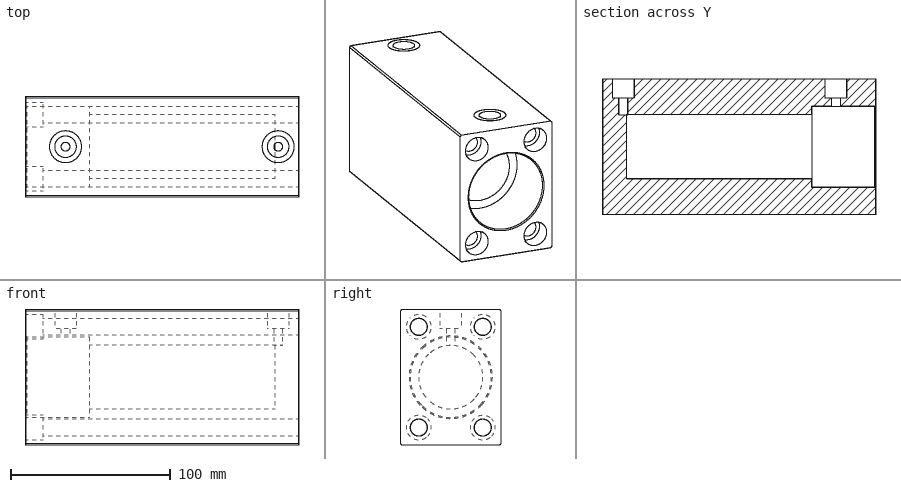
import cadquery as cq

LENGTH = 171.0
WIDTH = 63.0
HEIGHT = 85.0
EDGE_CHAMFER = 1.0

GLAND_DIAMETER = 50.5
GLAND_DEPTH = 40.0
MOUTH_CHAMFER = 0.75
PISTON_DIAMETER = 40.0
END_WALL = 15.0
PISTON_BORE_END = LENGTH - END_WALL

BOLT_SPACING_Y = 40.0
BOLT_SPACING_Z = 63.0
BOLT_HOLE_DIAMETER = 10.5
BOLT_HEAD_DIAMETER = 15.5
BOLT_HEAD_DEPTH = 11.0

PORT_POSITIONS_X = (25.0, 158.0)
SPOTFACE_DIAMETER = 20.0
SPOTFACE_DEPTH = 0.1
PORT_DIAMETER = 13.5
PORT_DEPTH = 12.0
DRILLING_DIAMETER = 5.5


def cylinder_along_x(diameter, depth, y=0.0, z=0.0):
    """Cylinder that begins at the -X face and extends toward +X."""
    return cq.Workplane("YZ", origin=(0, y, z)).circle(diameter / 2).extrude(depth)


def make_block():
    block = cq.Workplane("XY").box(LENGTH, WIDTH, HEIGHT, centered=(False, True, True))
    return block.edges("|X").chamfer(EDGE_CHAMFER)


def make_bore():
    """Half-profile in the XY plane, revolved about the X axis."""
    gland_radius = GLAND_DIAMETER / 2
    piston_radius = PISTON_DIAMETER / 2
    profile = [
        (0, 0),
        (0, gland_radius + MOUTH_CHAMFER),
        (MOUTH_CHAMFER, gland_radius),
        (GLAND_DEPTH, gland_radius),
        (GLAND_DEPTH, piston_radius),
        (PISTON_BORE_END, piston_radius),
        (PISTON_BORE_END, 0),
    ]
    return cq.Workplane("XY").polyline(profile).close().revolve(360, (0, 0, 0), (1, 0, 0))


def make_bolt_hole(y, z):
    shank = cylinder_along_x(BOLT_HOLE_DIAMETER, LENGTH, y, z)
    head = cylinder_along_x(BOLT_HEAD_DIAMETER, BOLT_HEAD_DEPTH, y, z)
    return shank.union(head)


def make_port(x):
    """Port whose drilling stops on the piston bore surface, extended past the bore end."""
    port = cq.Workplane("XY", origin=(x, 0, HEIGHT / 2))
    spotface = port.circle(SPOTFACE_DIAMETER / 2).extrude(-SPOTFACE_DEPTH)
    socket = port.circle(PORT_DIAMETER / 2).extrude(-PORT_DEPTH)
    drilling = port.circle(DRILLING_DIAMETER / 2).extrude(-HEIGHT / 2)
    drilling = drilling.cut(cylinder_along_x(PISTON_DIAMETER, LENGTH))
    return spotface.union(socket).union(drilling)


result = make_block().cut(make_bore())
for side_y in (-1, 1):
    for side_z in (-1, 1):
        result = result.cut(make_bolt_hole(side_y * BOLT_SPACING_Y / 2, side_z * BOLT_SPACING_Z / 2))
for port_x in PORT_POSITIONS_X:
    result = result.cut(make_port(port_x))